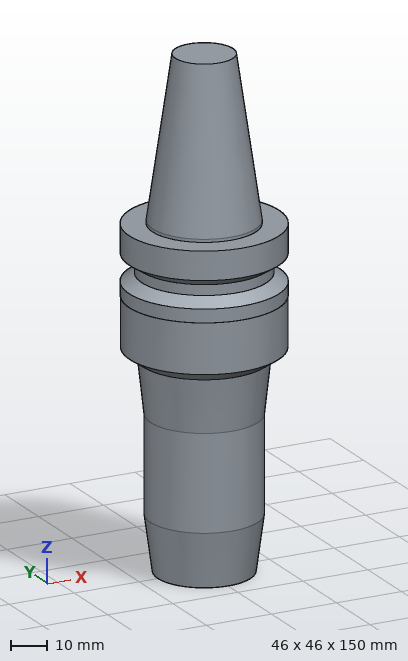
import cadquery as cq

overall_length = 150.0

nose_tip_diameter = 28.5
body_diameter = 33.0
neck_top_diameter = 36.6
collar_diameter = 45.9
flange_diameter = 46.0
groove_diameter = 38.2
shank_diameter = 31.8
taper_ratio = 7 / 24

nose_length = 16.6
body_length = 29.0
neck_length = 16.2
collar_chamfer_height = 3.2
collar_length = 15.0
lower_flange_length = 4.0
groove_flank_height = 2.5
groove_floor_width = 3.2
upper_flange_length = 8.5
shank_collar_length = 0.9

body_base = nose_length
neck_base = body_base + body_length
neck_top = neck_base + neck_length
collar_base = neck_top + collar_chamfer_height
flange_base = collar_base + collar_length
groove_base = flange_base + lower_flange_length
groove_floor_base = groove_base + groove_flank_height
groove_floor_top = groove_floor_base + groove_floor_width
groove_top = groove_floor_top + groove_flank_height
flange_top = groove_top + upper_flange_length
taper_base = flange_top + shank_collar_length

taper_length = overall_length - taper_base
shank_tip_diameter = shank_diameter - taper_ratio * taper_length

profile = [
    (nose_tip_diameter / 2, 0),
    (body_diameter / 2, body_base),
    (body_diameter / 2, neck_base),
    (neck_top_diameter / 2, neck_top),
    (collar_diameter / 2, collar_base),
    (collar_diameter / 2, flange_base),
    (flange_diameter / 2, flange_base),
    (flange_diameter / 2, groove_base),
    (groove_diameter / 2, groove_floor_base),
    (groove_diameter / 2, groove_floor_top),
    (flange_diameter / 2, groove_top),
    (flange_diameter / 2, flange_top),
    (shank_diameter / 2, flange_top),
    (shank_diameter / 2, taper_base),
    (shank_tip_diameter / 2, overall_length),
]

result = (
    cq.Workplane("XZ")
    .moveTo(0, 0)
    .polyline(profile, includeCurrent=True)
    .lineTo(0, overall_length)
    .close()
    .revolve(360, (0, 0, 0), (0, 1, 0))
)